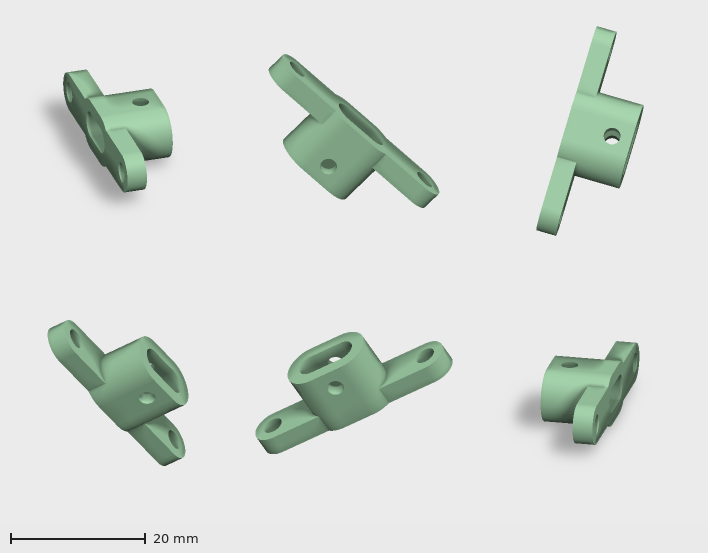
import cadquery as cq

flange_length = 32.0
flange_height = 6.0
flange_thickness = 3.0
mount_hole_diameter = 3.0
mount_hole_spacing = flange_length - flange_height

boss_width = 13.0
boss_height = 8.0
boss_depth = 10.0
slot_height = 4.0
wall = (boss_height - slot_height) / 2
slot_width = boss_width - 2 * wall

cross_hole_diameter = 2.5
cross_hole_y = 7.0


def oblong(width, height, depth):
    """Solid with a round-ended outline in XZ, extending from Y = 0 toward +Y."""
    return cq.Workplane("XZ").slot2D(width, height).extrude(-depth)


def mount_holes():
    """Pair of holes through the flange along Y."""
    return (
        cq.Workplane("XZ")
        .rarray(mount_hole_spacing, 0.32, 2, 1)
        .circle(mount_hole_diameter / 2)
        .extrude(-flange_thickness)
    )


def cross_hole():
    """Vertical hole through the full height of the boss."""
    return (
        cq.Workplane("XY")
        .center(0, cross_hole_y)
        .circle(cross_hole_diameter / 2)
        .extrude(boss_height / 2, both=True)
    )


flange = oblong(flange_length, flange_height, flange_thickness)
boss = oblong(boss_width, boss_height, boss_depth)
slot = oblong(slot_width, slot_height, boss_depth)

result = flange.union(boss).cut(slot).cut(mount_holes()).cut(cross_hole())